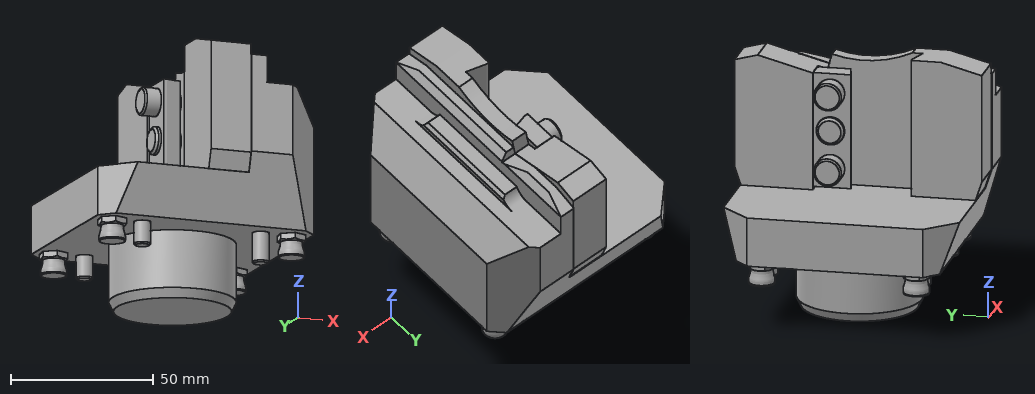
import cadquery as cq
import math


base_half_length = 82.0 / 2
base_half_width = 45.0
foot_half_width = 36.7
draft_top = 24.9
base_top = 17.8
corner_sum = 72.7
block_top = 50.4
block_chamfer_x = 30.5
block_chamfer_drop = 11.4

jaw_front = -3.1
jaw_back = 12.05
jaw_half_width = 44.6
jaw_draft_top = 24.6
jaw_top = 67.8
step_back = 18.0
step_top = 62.65
step_chamfer = 2.6
step_shoulder = 9.6
step_drop = 0.14
slope = math.tan(math.radians(15))

jaw_edge_top = 63.85
jaw_peak_y = 36.2
jaw_flat_y = -29.8
arc_end_y = -17.7
arc_bottom = 63.85
notch_tip_y = 11.4

seat_floor = 5.8
seat_stop_y = 16.4
seat_lip_y = -19.2
lip_flat = 1.2

wedge_front = -2.2
wedge_back = 4.8
wedge_bottom = 18.8
wedge_top = 60.7
wedge_tip_y = 2.85
screw_y = 10.0
screw_mid_z = 39.7
screw_pitch = 13.9
head_diameter = 10.0
shank_diameter = 8.0
outer_head_front = -8.2
mid_head_front = -4.1
outer_head_chamfer = 0.6
mid_head_chamfer = 0.9

key_back = 24.8
key_top = 53.7
key_half_top = 21.0
key_half_bottom = 26.2
key_chamfer = 1.3

spigot_radius = 45.0 / 2
spigot_length = 24.2
spigot_chamfer_length = 3.3
spigot_chamfer_width = 1.7

nipple_x = 33.95
nipple_y = 27.9
hex_diameter = 10.5
hex_height = 1.8
hex_turn = 23
hex_cone_end = 2.5
neck_radius = 8.0 / 2
neck_end = 3.7
throat_radius = 4.2
throat_end = 4.6
shoulder_radius = 4.6
shoulder_start = 5.8
bulge_radius = 4.7
bulge_start = 6.35
bulge_end = 7.5
nipple_length = 8.0
nipple_end_radius = 4.5

pin_x = 22.45
pin_y = 27.6
pin_diameter = 6.0
long_pin = 10.95
short_pin = 8.4
pin_chamfer = 0.55


def along_x(points, start, end):
    """Prism from a (y, z) outline."""
    return cq.Workplane("YZ", origin=(start, 0, 0)).polyline(points).close().extrude(end - start)


def along_y(points, half_width):
    """Prism from an (x, z) outline, centred on y = 0."""
    return cq.Workplane("XZ").polyline(points).close().extrude(half_width, both=True)


def turned(points):
    """Solid of revolution about Z from a (radius, z) outline."""
    return cq.Workplane("XZ").polyline(points).close().revolve(360, (0, 0, 0), (0, 1, 0))


def drafted_envelope(half_width, turn_z, start, end):
    """Flanks that lean outward from the flange face and rise vertically above turn_z."""
    lean = (base_half_width - foot_half_width) / draft_top
    right_side = [(half_width - turn_z * lean, 0), (half_width, turn_z), (half_width, jaw_top)]
    left_side = [(-y, z) for y, z in reversed(right_side)]
    return along_x(right_side + left_side, start, end)


def body():
    side_outline = [
        (-base_half_length, 0),
        (base_half_length, 0),
        (base_half_length, block_top - block_chamfer_drop),
        (block_chamfer_x, block_top),
        (jaw_back, block_top),
        (jaw_back, base_top),
        (-base_half_length, base_top),
    ]
    corner = base_half_length + base_half_width - corner_sum
    plan = (
        cq.Workplane("XY")
        .rect(2 * base_half_length, 2 * base_half_width)
        .extrude(jaw_top)
        .edges("|Z")
        .chamfer(corner)
    )
    envelope = drafted_envelope(base_half_width, draft_top, -base_half_length, base_half_length)
    return along_y(side_outline, base_half_width).intersect(plan).intersect(envelope)


arc_sag = jaw_top - arc_bottom
arc_radius = (arc_end_y**2 + arc_sag**2) / (2 * arc_sag)
notch_tip_z = arc_bottom + arc_radius - math.sqrt(arc_radius**2 - notch_tip_y**2)

jaw_peak_z = jaw_edge_top + (jaw_half_width - jaw_peak_y) * slope
notch_y = (notch_tip_z + notch_tip_y / slope - jaw_peak_z + jaw_peak_y * slope) / (slope + 1 / slope)
notch_z = jaw_peak_z - (jaw_peak_y - notch_y) * slope


def jaw():
    blank = (
        cq.Workplane("YZ", origin=(jaw_front, 0, 0))
        .moveTo(jaw_half_width, 0)
        .lineTo(jaw_half_width, jaw_edge_top)
        .lineTo(jaw_peak_y, jaw_peak_z)
        .lineTo(notch_y, notch_z)
        .lineTo(notch_tip_y, notch_tip_z)
        .threePointArc((0, arc_bottom), (arc_end_y, jaw_top))
        .lineTo(jaw_flat_y, jaw_top)
        .lineTo(-jaw_half_width, jaw_edge_top)
        .lineTo(-jaw_half_width, 0)
        .close()
        .extrude(jaw_back - jaw_front)
    )
    undercut_start = jaw_front + lip_flat
    undercut_y = seat_lip_y - (seat_floor - undercut_start) * slope
    seat_outline = [
        (jaw_front, seat_stop_y),
        (seat_floor, seat_stop_y),
        (seat_floor, undercut_y),
        (undercut_start, seat_lip_y),
        (jaw_front, seat_lip_y),
    ]
    seat = (
        cq.Workplane("XY", origin=(0, 0, base_top))
        .polyline(seat_outline)
        .close()
        .extrude(jaw_top - base_top)
    )
    return blank.intersect(drafted_envelope(jaw_half_width, jaw_draft_top, jaw_front, jaw_back)).cut(seat)


def step():
    shoulder_y = base_half_width - step_shoulder
    edge_top = step_top - step_shoulder * slope
    slope_z = notch_z - step_drop
    top_outline = [
        (base_half_width, draft_top),
        (base_half_width, edge_top),
        (shoulder_y, step_top),
        (notch_y + (step_top - slope_z) / slope, step_top),
        (notch_y, slope_z),
        (notch_y - (step_top - slope_z) * slope, step_top),
        (-shoulder_y, step_top),
        (-base_half_width, edge_top),
        (-base_half_width, draft_top),
    ]
    side_outline = [
        (jaw_back, draft_top),
        (step_back, draft_top),
        (step_back, step_top - step_chamfer),
        (step_back - step_chamfer, step_top),
        (jaw_back, step_top),
    ]
    return along_x(top_outline, jaw_back, step_back).intersect(along_y(side_outline, base_half_width))


def wedge():
    flat_end = wedge_front + lip_flat
    outline = [
        (wedge_front, seat_stop_y),
        (wedge_front, wedge_tip_y),
        (flat_end, wedge_tip_y),
        (wedge_back, wedge_tip_y + (wedge_back - flat_end) * slope),
        (wedge_back, seat_stop_y),
    ]
    return (
        cq.Workplane("XY", origin=(0, 0, wedge_bottom))
        .polyline(outline)
        .close()
        .extrude(wedge_top - wedge_bottom)
    )


def screw(z, head_front, head_chamfer):
    head = (
        cq.Workplane("YZ", origin=(head_front, screw_y, z))
        .circle(head_diameter / 2)
        .extrude(wedge_back - head_front)
        .faces("<X")
        .chamfer(head_chamfer)
    )
    shank = (
        cq.Workplane("YZ", origin=(wedge_back, screw_y, z))
        .circle(shank_diameter / 2)
        .extrude(jaw_back - wedge_back)
    )
    return head.union(shank)


def key():
    """Bar with a chamfered rear edge and concave run-outs at both ends."""
    rise = key_top - block_top
    run = key_half_bottom - key_half_top
    runout_radius = (run**2 + rise**2) / (2 * rise)
    mid_angle = math.asin(run / runout_radius) / 2
    mid_y = key_half_bottom - runout_radius * math.sin(mid_angle)
    mid_z = block_top + runout_radius * (1 - math.cos(mid_angle))
    bar = (
        cq.Workplane("YZ", origin=(step_back, 0, 0))
        .moveTo(-key_half_bottom, block_top)
        .threePointArc((-mid_y, mid_z), (-key_half_top, key_top))
        .lineTo(key_half_top, key_top)
        .threePointArc((mid_y, mid_z), (key_half_bottom, block_top))
        .close()
        .extrude(key_back - step_back)
    )
    side_outline = [
        (step_back, block_top),
        (key_back, block_top),
        (key_back, key_top - key_chamfer),
        (key_back - key_chamfer, key_top),
        (step_back, key_top),
    ]
    return bar.intersect(along_y(side_outline, key_half_bottom))


def spigot():
    outline = [
        (0, 0),
        (spigot_radius, 0),
        (spigot_radius, spigot_chamfer_length - spigot_length),
        (spigot_radius - spigot_chamfer_width, -spigot_length),
        (0, -spigot_length),
    ]
    return turned(outline)


def nipple():
    """Hexagon collar, conical under its corners, above a necked connector with a bulge."""
    hex_radius = hex_diameter / 2
    collar = (
        cq.Workplane("XY")
        .polygon(6, hex_diameter)
        .extrude(-hex_cone_end)
        .rotate((0, 0, 0), (0, 0, 1), hex_turn)
    )
    cone_outline = [
        (0, 0),
        (hex_radius, 0),
        (hex_radius, -hex_height),
        (neck_radius, -hex_cone_end),
        (0, -hex_cone_end),
    ]
    connector_outline = [
        (0, 0),
        (neck_radius, 0),
        (neck_radius, -neck_end),
        (throat_radius, -throat_end),
        (shoulder_radius, -shoulder_start),
        (bulge_radius, -bulge_start),
        (bulge_radius, -bulge_end),
        (nipple_end_radius, -nipple_length),
        (0, -nipple_length),
    ]
    return collar.intersect(turned(cone_outline)).union(turned(connector_outline))


def pin(length):
    return cq.Workplane("XY").circle(pin_diameter / 2).extrude(-length).faces("<Z").chamfer(pin_chamfer)


result = body().union(jaw()).union(step()).union(wedge()).union(key()).union(spigot())

for offset in (-screw_pitch, screw_pitch):
    result = result.union(screw(screw_mid_z + offset, outer_head_front, outer_head_chamfer))
result = result.union(screw(screw_mid_z, mid_head_front, mid_head_chamfer))

for side in (-1, 1):
    for end in (-1, 1):
        result = result.union(nipple().translate((end * nipple_x, side * nipple_y, 0)))
    result = result.union(pin(long_pin).translate((pin_x, side * pin_y, 0)))
    result = result.union(pin(short_pin).translate((-pin_x, side * pin_y, 0)))